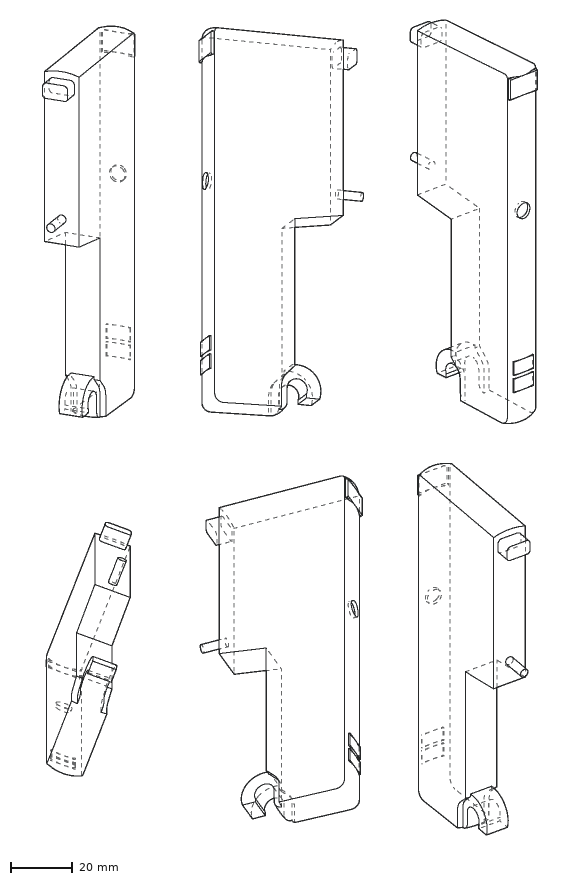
import cadquery as cq
import math

width = 12.3
height = 128.5
depth = 45.6
half_width = width / 2

lower_front_y = 16.7
step_low_z = 65.5
step_high_z = 68.2

end_crown = 0.96
back_crown = 1.2
bottom_rise = 0.9
top_back_radius = 1.4
bottom_back_radius = 3.2
root_radius = 2.8

hook_width = 8.2
hook_y = 15.2
hook_z = 8.6
hook_outer_radius = 8.2
hook_inner_radius = 3.5
hook_tip_z = 5.9
hook_tip_inner_y = 12.0
hook_relief_radius = 6.2
root_front_y = hook_y + hook_inner_radius

peg_width = 9.0
peg_height = 5.4
peg_length = 5.4
peg_z = 123.3
peg_top_radius = 1.5
peg_bottom_radius = 1.2
pin_diameter = 3.0
pin_length = 8.7
pin_z = 77.0

label_width = 11.6
label_bottom_z = 118.6
label_top_z = 126.5
label_chamfer = 0.4
grip_width = 8.5
grip_height = 4.9
grip_zs = (15.2, 21.3)
pad_thickness = 1.3
recess_diameter = 5.5
recess_z = 77.1
recess_depth = 1.3


def extrude_along_x(outline, total_width):
    """Extrude a YZ outline symmetrically about the middle plane X = 0."""
    return outline.extrude(total_width / 2, both=True)


def back_block(block_width, z_low, z_high, thickness):
    """Rectangular block whose outer face is level with the middle of the back crown."""
    return (
        cq.Workplane("XY")
        .box(block_width, thickness, z_high - z_low, centered=(True, False, False))
        .translate((0, depth - thickness, z_low))
    )


def crowned_housing():
    """Stepped housing with arched back, top and bottom faces."""
    outline = (
        cq.Workplane("YZ")
        .moveTo(0, height)
        .lineTo(0, step_high_z)
        .lineTo(lower_front_y, step_low_z)
        .lineTo(lower_front_y, hook_z)
        .lineTo(root_front_y, hook_z)
        .lineTo(root_front_y, -end_crown)
        .lineTo(depth, -end_crown)
        .lineTo(depth, height)
        .close()
    )
    back_arch = (
        cq.Workplane("XY")
        .moveTo(-half_width, 0)
        .lineTo(-half_width, depth - back_crown)
        .threePointArc((0, depth), (half_width, depth - back_crown))
        .lineTo(half_width, 0)
        .close()
        .extrude(2 * height, both=True)
    )
    top_arch = (
        cq.Workplane("XZ")
        .moveTo(-half_width, -height)
        .lineTo(-half_width, height - end_crown)
        .threePointArc((0, height), (half_width, height - end_crown))
        .lineTo(half_width, -height)
        .close()
        .extrude(-depth)
    )
    slope = math.atan2(bottom_rise, depth - root_front_y)
    corner_drop = bottom_back_radius * (1 / math.cos(slope) + math.tan(slope) - 1)
    bottom_arch = (
        cq.Workplane("XZ")
        .moveTo(-half_width, 2 * height)
        .lineTo(-half_width, end_crown)
        .threePointArc((0, 0), (half_width, end_crown))
        .lineTo(half_width, 2 * height)
        .close()
        .extrude(2 * depth, both=True)
        .rotate((0, 0, 0), (1, 0, 0), -math.degrees(slope))
        .translate((0, depth, -corner_drop))
    )
    housing = extrude_along_x(outline, width)
    for arch in (back_arch, top_arch, bottom_arch):
        housing = housing.intersect(arch)
    housing = round_cross_edge(housing, depth, height, top_back_radius)
    housing = round_cross_edge(housing, depth, 0, bottom_back_radius)
    return round_cross_edge(housing, root_front_y, bottom_rise, root_radius)


def round_cross_edge(body, y, z, radius):
    """Round the arched edge that runs across the full width near (y, z)."""
    reach = end_crown
    near = cq.selectors.BoxSelector(
        (-half_width, y - reach, z - reach), (half_width, y + reach, z + reach)
    )
    return body.edges(near).edges("not #X").fillet(radius)


def hook_relief():
    """Space to either side of the hook root: a vertical face, an arc and a 45-degree ramp."""
    ramp_offset = hook_relief_radius * math.sqrt(0.5)
    arc_middle = math.radians(45 / 2)
    ramp_start_y = hook_y + ramp_offset
    ramp_start_z = hook_z + ramp_offset
    outline = (
        cq.Workplane("YZ")
        .moveTo(0, -height)
        .lineTo(hook_y + hook_relief_radius, -height)
        .lineTo(hook_y + hook_relief_radius, hook_z)
        .threePointArc(
            (
                hook_y + hook_relief_radius * math.cos(arc_middle),
                hook_z + hook_relief_radius * math.sin(arc_middle),
            ),
            (ramp_start_y, ramp_start_z),
        )
        .lineTo(0, ramp_start_z + ramp_start_y)
        .close()
    )
    hook_band = cq.Workplane("XY").box(hook_width, 4 * depth, 4 * height)
    return extrude_along_x(outline, width).cut(hook_band)


def hook_blank():
    """Hook outline without its mouth: round in front, flat on top."""
    top_z = hook_z + hook_outer_radius
    tip_y = hook_y - math.sqrt(hook_outer_radius**2 - (hook_z - hook_tip_z) ** 2)
    outline = (
        cq.Workplane("YZ")
        .moveTo(lower_front_y, top_z)
        .lineTo(hook_y, top_z)
        .threePointArc(
            (
                hook_y - hook_outer_radius * math.sqrt(0.5),
                hook_z + hook_outer_radius * math.sqrt(0.5),
            ),
            (tip_y, hook_tip_z),
        )
        .lineTo(root_front_y, hook_tip_z)
        .lineTo(root_front_y, hook_z)
        .lineTo(lower_front_y, hook_z)
        .close()
    )
    return extrude_along_x(outline, hook_width)


def hook_mouth():
    """Round hook opening with a slot leading in from below."""
    bore = extrude_along_x(
        cq.Workplane("YZ").center(hook_y, hook_z).circle(hook_inner_radius), hook_width
    )
    slot = cq.Workplane("XY").box(
        hook_width,
        root_front_y - hook_tip_inner_y,
        hook_z - hook_tip_z,
        centered=(True, False, False),
    )
    return bore.union(slot.translate((0, hook_tip_inner_y, hook_tip_z)))


def locating_peg():
    """Flat peg on the front face, with larger rounds on its upper edges."""
    peg = cq.Workplane("XZ").center(0, peg_z).rect(peg_width, peg_height).extrude(peg_length)
    peg = peg.edges("|Y and >Z").fillet(peg_top_radius)
    return peg.edges("|Y and <Z").fillet(peg_bottom_radius)


def front_pin():
    """Round pin below the peg."""
    return cq.Workplane("XZ").center(0, pin_z).circle(pin_diameter / 2).extrude(pin_length)


def label_pad():
    """Flat pad near the top of the back face, chamfered at its upper and lower edges."""
    pad = back_block(label_width, label_bottom_z, label_top_z, pad_thickness)
    return pad.faces(">Y").edges("|X").chamfer(label_chamfer)


def back_recess():
    """Shallow round recess in the middle of the back face."""
    return (
        cq.Workplane("XZ")
        .center(0, recess_z)
        .circle(recess_diameter / 2)
        .extrude(recess_depth)
        .translate((0, depth, 0))
    )


result = crowned_housing().cut(hook_relief()).union(hook_blank()).cut(hook_mouth())
result = result.union(locating_peg()).union(front_pin()).union(label_pad())
for grip_z in grip_zs:
    grip_bottom_z = grip_z - grip_height / 2
    result = result.union(
        back_block(grip_width, grip_bottom_z, grip_bottom_z + grip_height, pad_thickness)
    )
result = result.cut(back_recess())